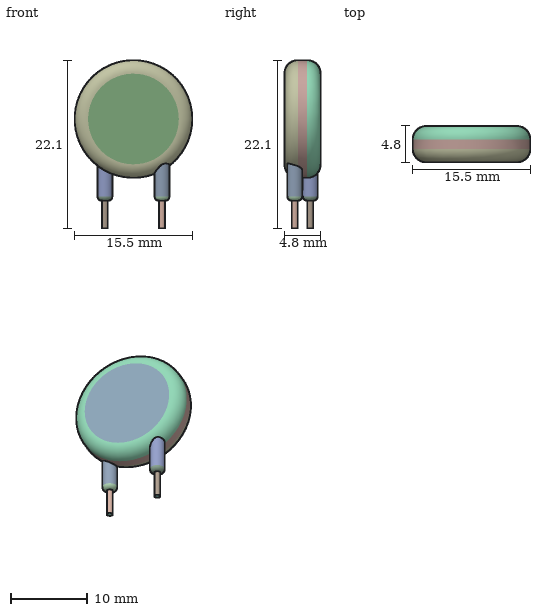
import cadquery as cq

TOTAL_HEIGHT = 22.1

DISC_DIAMETER = 15.5
DISC_THICKNESS = 4.8
RIM_RADIUS = 1.8
DISC_CENTER_Z = TOTAL_HEIGHT - DISC_DIAMETER / 2

LEG_PITCH = 7.5
LEG_OFFSET_Y = 1.02
WIRE_DIAMETER = 0.8
SLEEVE_DIAMETER = 2.0
SLEEVE_BOTTOM_Z = 3.6
SLEEVE_END_RADIUS = 0.6

LEG_POSITIONS = [
    (-LEG_PITCH / 2, LEG_OFFSET_Y),
    (LEG_PITCH / 2, -LEG_OFFSET_Y),
]


def make_disc():
    """Flat disc with both circular rims rounded."""
    return (
        cq.Workplane("XZ", origin=(0, DISC_THICKNESS / 2, DISC_CENTER_Z))
        .circle(DISC_DIAMETER / 2)
        .extrude(DISC_THICKNESS)
        .edges("%CIRCLE")
        .fillet(RIM_RADIUS)
    )


def leg_cylinder(position, diameter, bottom_z):
    """Vertical cylinder that reaches up into the disc."""
    x, y = position
    return (
        cq.Workplane("XY", origin=(x, y, bottom_z))
        .circle(diameter / 2)
        .extrude(DISC_CENTER_Z - bottom_z)
    )


def make_wire(position, disc):
    """Wire that runs through its sleeve and ends on the disc surface."""
    return leg_cylinder(position, WIRE_DIAMETER, 0).cut(disc)


def make_sleeve(position, disc, wire):
    """Sleeve with a rounded lower end, fitted to the disc rim and around its wire."""
    sleeve = leg_cylinder(position, SLEEVE_DIAMETER, SLEEVE_BOTTOM_Z)
    return sleeve.faces("<Z").edges().fillet(SLEEVE_END_RADIUS).cut(disc).cut(wire)


disc = make_disc()
bodies = [disc.val()]
for position in LEG_POSITIONS:
    wire = make_wire(position, disc)
    sleeve = make_sleeve(position, disc, wire)
    bodies += [*wire.solids().vals(), *sleeve.solids().vals()]

result = cq.Compound.makeCompound(bodies)